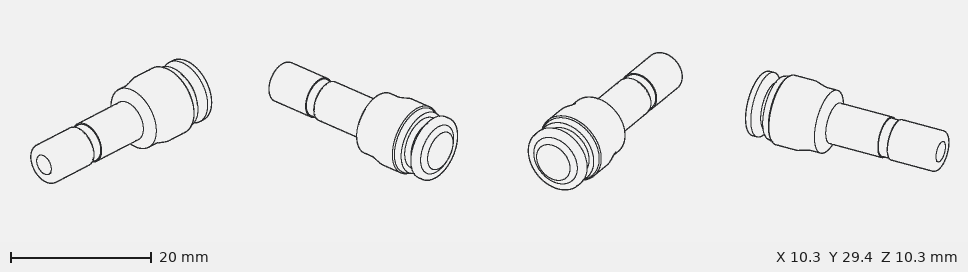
import cadquery as cq
import math

LENGTH = 29.4
BACK = LENGTH / 2
FRONT = -LENGTH / 2

BUTTON_TIP_RADIUS = 2.85
BUTTON_CONE_RADIUS = 3.7
BUTTON_CONE_HEIGHT = 0.6
FLANGE_RADIUS = 4.75
FLANGE_THICKNESS = 0.95
FLANGE_ROUND = 0.24
NECK_RADIUS = 2.82
NECK_LENGTH = 0.97
NECK_ROUND = 0.47

COLLAR_BACK_RADIUS = 3.55
COLLAR_FRONT_RADIUS = 3.88
COLLAR_LENGTH = 0.88
SLEEVE_BACK_RADIUS = 4.67
SLEEVE_FRONT_RADIUS = 4.95
SLEEVE_LENGTH = 1.03

BODY_RADIUS = 5.15
BODY_CHAMFER_LENGTH = 0.2
BODY_LENGTH = 3.3
WAIST_RADIUS = 4.65
TAPER_LENGTH = 1.85
WAIST_LENGTH = 1.85
SHOULDER_LENGTH = 0.97

STEM_RADIUS = 3.0
STEM_ROUND = 0.47
GROOVE_RADIUS = 2.82
GROOVE_WIDTH = 1.5
GROOVE_TO_END = 7.03
BORE_RADIUS = 1.5

flange_back = BACK - BUTTON_CONE_HEIGHT
flange_front = flange_back - FLANGE_THICKNESS
collar_back = flange_front - NECK_LENGTH
sleeve_back = collar_back - COLLAR_LENGTH
sleeve_front = sleeve_back - SLEEVE_LENGTH
body_back = sleeve_front - BODY_CHAMFER_LENGTH
body_front = body_back - BODY_LENGTH
waist_back = body_front - TAPER_LENGTH
waist_front = waist_back - WAIST_LENGTH
stem_back = waist_front - SHOULDER_LENGTH
groove_front = FRONT + GROOVE_TO_END
groove_back = groove_front + GROOVE_WIDTH
bore_depth = stem_back - FRONT


def round_middle(center_x, center_y, radius, angle):
    """Point on a round at the given angle in degrees from +X."""
    a = math.radians(angle)
    return (center_x + radius * math.cos(a), center_y + radius * math.sin(a))


def revolve(profile):
    return profile.close().revolve(360, (0, 0, 0), (0, 1, 0))


def make_outer_shape():
    """Half-section outline of button, body and stem, turned about Y."""
    profile = (
        cq.Workplane("XY")
        .moveTo(0, BACK)
        .lineTo(BUTTON_TIP_RADIUS, BACK)
        .lineTo(BUTTON_CONE_RADIUS, flange_back)
        .lineTo(FLANGE_RADIUS - FLANGE_ROUND, flange_back)
        .threePointArc(
            round_middle(FLANGE_RADIUS - FLANGE_ROUND, flange_back - FLANGE_ROUND, FLANGE_ROUND, 45),
            (FLANGE_RADIUS, flange_back - FLANGE_ROUND),
        )
        .lineTo(FLANGE_RADIUS, flange_front)
        .lineTo(NECK_RADIUS + NECK_ROUND, flange_front)
        .threePointArc(
            round_middle(NECK_RADIUS + NECK_ROUND, flange_front - NECK_ROUND, NECK_ROUND, 135),
            (NECK_RADIUS, flange_front - NECK_ROUND),
        )
        .lineTo(NECK_RADIUS, collar_back)
        .lineTo(COLLAR_BACK_RADIUS, collar_back)
        .lineTo(COLLAR_FRONT_RADIUS, sleeve_back)
        .lineTo(SLEEVE_BACK_RADIUS, sleeve_back)
        .lineTo(SLEEVE_FRONT_RADIUS, sleeve_front)
        .lineTo(BODY_RADIUS, body_back)
        .lineTo(BODY_RADIUS, body_front)
        .lineTo(WAIST_RADIUS, waist_back)
        .lineTo(WAIST_RADIUS, waist_front)
        .lineTo(STEM_RADIUS, stem_back)
        .lineTo(STEM_RADIUS, groove_back)
        .lineTo(GROOVE_RADIUS, groove_back)
        .lineTo(GROOVE_RADIUS, groove_front)
        .lineTo(STEM_RADIUS, groove_front)
        .lineTo(STEM_RADIUS, FRONT + STEM_ROUND)
        .threePointArc(
            round_middle(STEM_RADIUS - STEM_ROUND, FRONT + STEM_ROUND, STEM_ROUND, -45),
            (STEM_RADIUS - STEM_ROUND, FRONT),
        )
        .lineTo(0, FRONT)
    )
    return revolve(profile)


def make_bore():
    """Blind bore running the length of the stem."""
    profile = (
        cq.Workplane("XY")
        .moveTo(0, FRONT)
        .lineTo(BORE_RADIUS, FRONT)
        .lineTo(BORE_RADIUS, FRONT + bore_depth)
        .lineTo(0, FRONT + bore_depth)
    )
    return revolve(profile)


result = make_outer_shape().cut(make_bore())